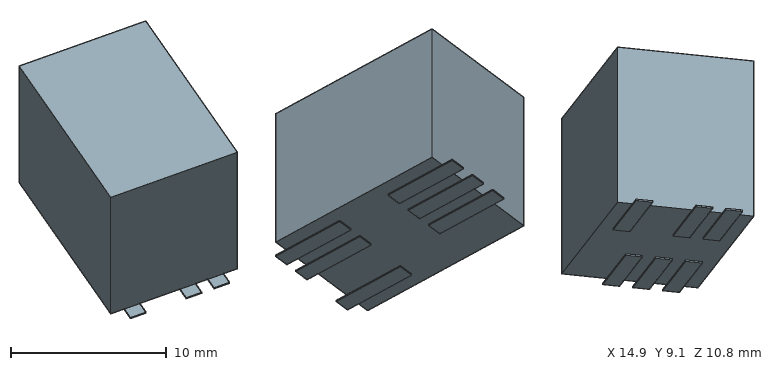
import cadquery as cq

housing_length = 13.2
housing_width = 9.1
overall_height = 10.8

overall_length = 14.92
pad_length = 5.42
pad_width = 1.12
pad_thickness = 0.1
row_pitch = 2.0

left_rows = [1.5, 0.5, -0.5]
right_rows = [1.5, 0.5, -1.5]

housing_height = overall_height - pad_thickness
pad_center_x = (overall_length - pad_length) / 2


def make_housing():
    """Plain block whose underside lies on Z = 0."""
    return cq.Workplane("XY").box(
        housing_length, housing_width, housing_height, centered=(True, True, False)
    )


def make_pad(center_x, row):
    """Flat strip touching the housing underside and reaching out past its end."""
    return (
        cq.Workplane("XY")
        .center(center_x, row * row_pitch)
        .rect(pad_length, pad_width)
        .extrude(-pad_thickness)
    )


housing = make_housing()
left_pads = [make_pad(-pad_center_x, row) for row in left_rows]
right_pads = [make_pad(pad_center_x, row) for row in right_rows]

result = cq.Compound.makeCompound(
    [housing.val()] + [pad.val() for pad in left_pads + right_pads]
)